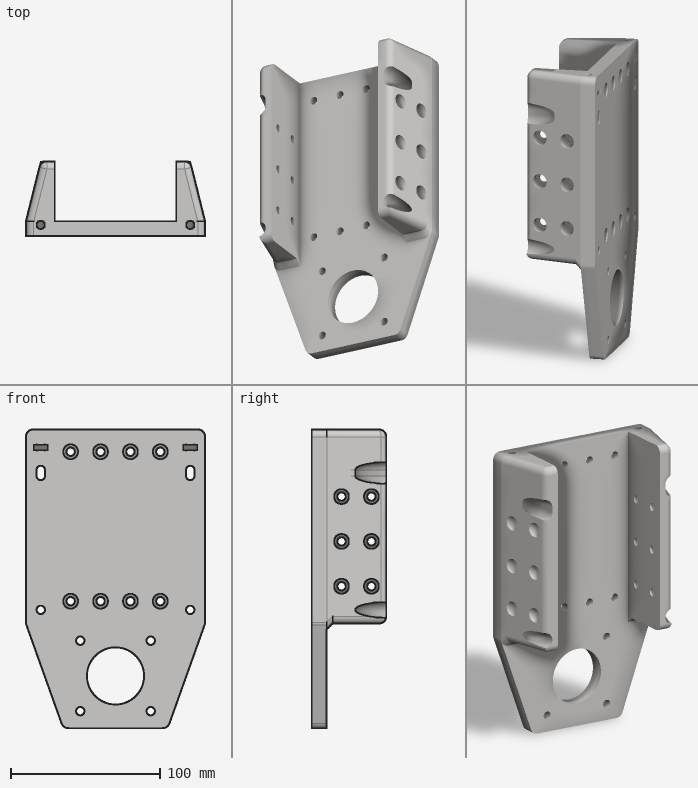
import cadquery as cq

width = 120.0
depth = 50.0
height = 200.0

plate_thickness = 10.0
foot_width = 70.0
shoulder_z = 70.0
corner_radius = 5.0

arm_inner_x = 40.5
arm_tip_x = 50.0
edge_radius = 5.0
gusset_size = 4.0

screw_diameter = 5.5
head_diameter = 10.0
plate_head_depth = 3.0
arm_head_floor_x = 43.0

plate_screw_xs = (-30.0, -10.0, 10.0, 30.0)
plate_screw_zs = (85.0, 185.0)

arm_screw_ys = (20.0, 40.0)
arm_screw_pitch = 30.0
arm_screw_middle_z = 125.0
arm_screw_zs = [arm_screw_middle_z + step * arm_screw_pitch for step in (-1, 0, 1)]

mount_x = 50.0
mount_spacing_z = 91.6
mount_low_z = arm_screw_middle_z - mount_spacing_z / 2
mount_high_z = arm_screw_middle_z + mount_spacing_z / 2
slot_travel = 4.0
mount_head_diameter = 10.4

tension_y = 7.5
nut_width = 9.4
nut_thickness = 3.8
nut_z = 187.8
nut_pocket_depth = tension_y + nut_width / 2

motor_z = 35.0
pilot_diameter = 38.1
motor_screw_spacing = 47.14


def bore_y(x, z, diameter, y_start, y_end, travel=0.0):
    """Round hole along Y, stretched along Z into a slot when travel is given."""
    plane = cq.Workplane("XZ", origin=(x, y_start, z))
    if travel:
        sketch = plane.slot2D(diameter + travel, diameter, 90)
    else:
        sketch = plane.circle(diameter / 2)
    return sketch.extrude(y_start - y_end)


def make_plate(thickness):
    outline = [
        (-width / 2, height),
        (width / 2, height),
        (width / 2, shoulder_z),
        (foot_width / 2, 0),
        (-foot_width / 2, 0),
        (-width / 2, shoulder_z),
    ]
    plate = cq.Workplane("XZ").polyline(outline).close().extrude(-thickness)
    return plate.edges("|Y").fillet(corner_radius)


def arm_block(z_bottom, z_top):
    """Sharp-edged length of the right-hand arm, starting at the back of the plate."""
    profile = [
        (arm_inner_x, plate_thickness),
        (width / 2, plate_thickness),
        (arm_tip_x, depth),
        (arm_inner_x, depth),
    ]
    return cq.Workplane("XY", origin=(0, 0, z_bottom)).polyline(profile).close().extrude(z_top - z_bottom)


def make_upper_arm():
    """Right-hand arm above the lower mounting hole, with its outer tip edge rounded."""
    upper = arm_block(mount_low_z, height)
    rounded_edges = upper.faces(">Z").edges(">X or >Y").add(upper.faces(">Y").edges("|Z and >X"))
    return rounded_edges.fillet(edge_radius)


def make_lower_arm():
    """Right-hand arm below the lower mounting hole, with its underside edges rounded."""
    lower = arm_block(shoulder_z, mount_low_z)
    return lower.faces("<Z").edges(">X or >Y").fillet(edge_radius)


def make_gusset():
    """Sloping flare that carries the rounded underside of the right-hand arm down to the plate."""
    taper_slope = (width / 2 - arm_tip_x) / (depth - plate_thickness)

    def section(reach):
        """Arm section at a distance behind the plate, lowered as it nears the plate."""
        outer_x = width / 2 - taper_slope * reach
        bottom_z = shoulder_z - gusset_size + reach
        return (
            cq.Workplane("XZ", origin=(0, plate_thickness + reach, 0))
            .moveTo(arm_inner_x, bottom_z)
            .lineTo(outer_x - edge_radius, bottom_z)
            .radiusArc((outer_x, bottom_z + edge_radius), -edge_radius)
            .lineTo(outer_x, mount_low_z)
            .lineTo(arm_inner_x, mount_low_z)
            .close()
            .wires()
            .val()
        )

    gusset = cq.Solid.makeLoft([section(0), section(gusset_size)], True)
    return cq.Workplane(gusset).intersect(make_plate(depth))


def cut_plate_screws(body):
    for x in plate_screw_xs:
        for z in plate_screw_zs:
            body = body.cut(bore_y(x, z, screw_diameter, 0, plate_thickness))
            body = body.cut(bore_y(x, z, head_diameter, 0, plate_head_depth))
    return body


def cut_arm_screws(body):
    for y in arm_screw_ys:
        for z in arm_screw_zs:
            start = cq.Workplane("YZ", origin=(0, y, z))
            body = body.cut(start.circle(screw_diameter / 2).extrude(width / 2, both=True))
            head = start.workplane(offset=arm_head_floor_x).circle(head_diameter / 2)
            head = head.extrude(width / 2 - arm_head_floor_x)
            body = body.cut(head).cut(head.mirror("YZ"))
    return body


def cut_mounting_holes(body):
    for x in (-mount_x, mount_x):
        for z, travel in ((mount_low_z, 0.0), (mount_high_z, slot_travel)):
            body = body.cut(bore_y(x, z, screw_diameter, 0, depth, travel))
            body = body.cut(bore_y(x, z, mount_head_diameter, plate_thickness, depth, travel))
    return body


def cut_tension_screws(body):
    """Vertical screw holes running through the nut pockets into the mounting slots."""
    for x in (-mount_x, mount_x):
        hole = cq.Workplane("XY", origin=(x, tension_y, mount_high_z)).circle(screw_diameter / 2)
        body = body.cut(hole.extrude(height - mount_high_z))
        pocket = cq.Workplane("XZ", origin=(x, 0, nut_z)).rect(nut_width, nut_thickness)
        body = body.cut(pocket.extrude(-nut_pocket_depth))
    return body


def cut_motor_face(body):
    body = body.cut(bore_y(0, motor_z, pilot_diameter, 0, plate_thickness))
    for side in (-1, 1):
        for level in (-1, 1):
            x = side * motor_screw_spacing / 2
            z = motor_z + level * motor_screw_spacing / 2
            body = body.cut(bore_y(x, z, screw_diameter, 0, plate_thickness))
    return body


arm = make_upper_arm().union(make_lower_arm()).union(make_gusset())
body = make_plate(plate_thickness).union(arm).union(arm.mirror("YZ"))
body = cut_plate_screws(body)
body = cut_arm_screws(body)
body = cut_mounting_holes(body)
body = cut_tension_screws(body)
result = cut_motor_face(body)